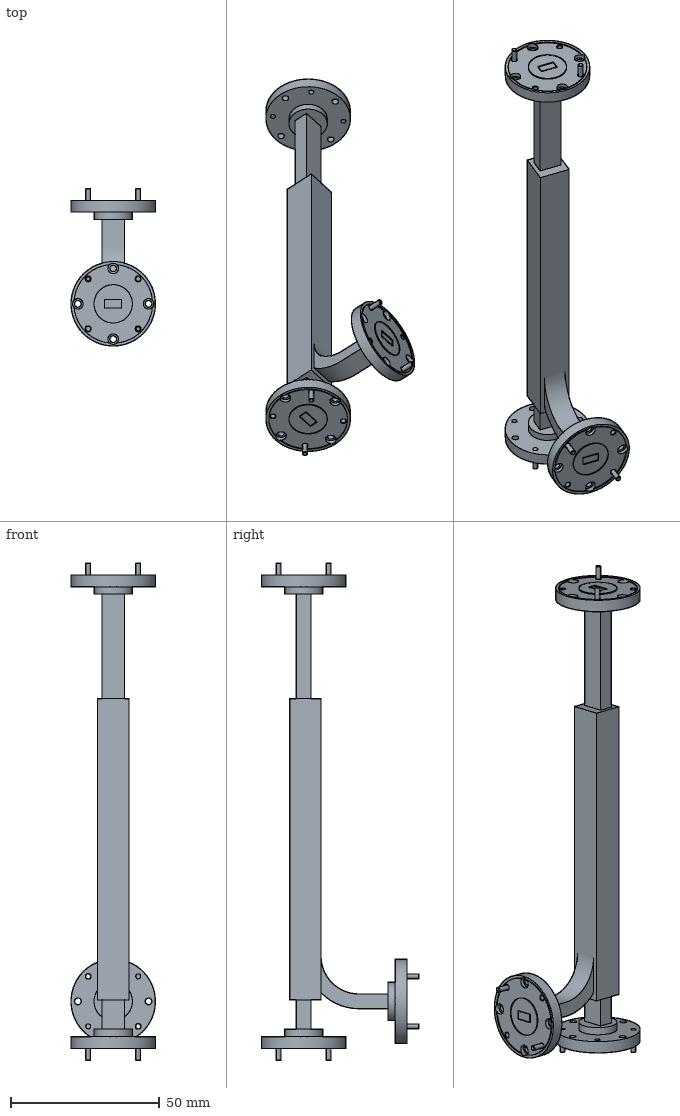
import cadquery as cq
import math


length = 167.8
guide_width = 7.7
guide_height = 5.0
block_width = 10.7
block_front_y = -4.7
block_back_y = 5.9
block_bottom = 20.5
block_top = 122.0

flange_diameter = 28.5
flange_thickness = 4.0
hub_diameter = 13.0
hub_length = 2.5
rim_inner_diameter = 26.5
face_recess_depth = 0.3
aperture_width = 5.7
aperture_height = 2.9
aperture_depth = 0.3

hole_circle_radius = 11.9
screw_hole_diameter = 2.2
counterbore_diameter = 3.5
counterbore_depth = 1.7
dowel_hole_chamfer = 0.2
pin_diameter = 1.7
pin_projection = 4.0
pin_tip_chamfer = 0.2
pin_angles = (135, 315)
open_dowel_angles = (45, 225)
screw_angles = (0, 90, 180, 270)
right_angle = 90
chamfer_taper = 45

side_axis_z = 20.0
side_reach = 39.0
bend_start_y = 18.6

bottom_face_z = pin_projection
top_face_z = length - pin_projection
side_face_y = side_reach - pin_projection
bend_inner_radius = bend_start_y - block_back_y
bend_center_z = side_axis_z + guide_height / 2 + bend_inner_radius


def circle_points(angles):
    """Points on the hole circle at the given angles in degrees."""
    return [
        (
            hole_circle_radius * math.cos(math.radians(angle)),
            hole_circle_radius * math.sin(math.radians(angle)),
        )
        for angle in angles
    ]


def make_cylinders(angles, diameter, depth):
    """Cylinders going down from Z = 0 at the given angles on the hole circle."""
    return cq.Workplane("XY").pushPoints(circle_points(angles)).circle(diameter / 2).extrude(-depth)


def make_screw_holes():
    """Counterbored through holes to cut from a flange."""
    through_holes = make_cylinders(screw_angles, screw_hole_diameter, flange_thickness)
    counterbores = make_cylinders(screw_angles, counterbore_diameter, counterbore_depth)
    return through_holes.union(counterbores)


def make_dowel_holes():
    """Through holes for the pins and for the mating flange's pins, chamfered at the recessed face."""
    dowel_angles = pin_angles + open_dowel_angles
    chamfers = (
        cq.Workplane("XY", origin=(0, 0, -face_recess_depth))
        .pushPoints(circle_points(dowel_angles))
        .circle(pin_diameter / 2 + dowel_hole_chamfer)
        .extrude(-dowel_hole_chamfer, taper=chamfer_taper)
    )
    return make_cylinders(dowel_angles, pin_diameter, flange_thickness).union(chamfers)


def make_flange():
    """Flange with its mating face on Z = 0, facing +Z, and its hub below."""
    flange = cq.Workplane("XY").circle(flange_diameter / 2).extrude(-flange_thickness)
    hub = (
        cq.Workplane("XY", origin=(0, 0, -flange_thickness))
        .circle(hub_diameter / 2)
        .extrude(-hub_length)
    )
    face_recess = (
        cq.Workplane("XY")
        .circle(rim_inner_diameter / 2)
        .circle(hub_diameter / 2)
        .extrude(-face_recess_depth)
    )
    aperture = cq.Workplane("XY").rect(aperture_width, aperture_height).extrude(-aperture_depth)
    flange = flange.union(hub).cut(face_recess).cut(aperture)
    return flange.cut(make_screw_holes()).cut(make_dowel_holes())


def make_pin(point):
    """Dowel pin filling its flange hole, flush at the back."""
    return (
        cq.Workplane("XY", origin=(*point, -flange_thickness))
        .circle(pin_diameter / 2)
        .extrude(flange_thickness + pin_projection)
        .faces(">Z")
        .chamfer(pin_tip_chamfer)
    )


def at_top(shape):
    return shape.translate((0, 0, top_face_z))


def at_bottom(shape):
    return shape.rotate((0, 0, 0), (1, 0, 0), 2 * right_angle).translate((0, 0, bottom_face_z))


def at_side(shape):
    return shape.rotate((0, 0, 0), (1, 0, 0), -right_angle).translate((0, side_face_y, side_axis_z))


ports = (at_top, at_bottom, at_side)


def make_main_guide():
    """Straight guide between the end flanges, with the coupler block around it."""
    guide_start = bottom_face_z + flange_thickness
    guide_end = top_face_z - flange_thickness
    guide = (
        cq.Workplane("XY", origin=(0, 0, guide_start))
        .rect(guide_width, guide_height)
        .extrude(guide_end - guide_start)
    )
    block = (
        cq.Workplane("XY", origin=(0, (block_front_y + block_back_y) / 2, block_bottom))
        .rect(block_width, block_back_y - block_front_y)
        .extrude(block_top - block_bottom)
    )
    return guide.union(block)


def side_guide_section():
    """Guide cross-section at the start of the bend, facing -Y."""
    return cq.Workplane("XZ", origin=(0, bend_start_y, side_axis_z)).rect(guide_width, guide_height)


def make_side_guide():
    """Side guide: straight from the side flange, then a quarter bend up into the block."""
    straight_length = side_face_y - flange_thickness - bend_start_y
    straight = side_guide_section().extrude(-straight_length)
    bend_radius = bend_center_z - side_axis_z
    bend = side_guide_section().revolve(right_angle, (0, bend_radius, 0), (-1, bend_radius, 0))
    return straight.union(bend)


def make_coupler():
    """The guides, the block and the three flanges as one solid."""
    coupler = make_main_guide().union(make_side_guide())
    for place in ports:
        coupler = coupler.union(place(make_flange()))
    return coupler


coupler = make_coupler()
pins = [place(make_pin(point)) for place in ports for point in circle_points(pin_angles)]

result = cq.Compound.makeCompound([coupler.val(), *[pin.val() for pin in pins]])